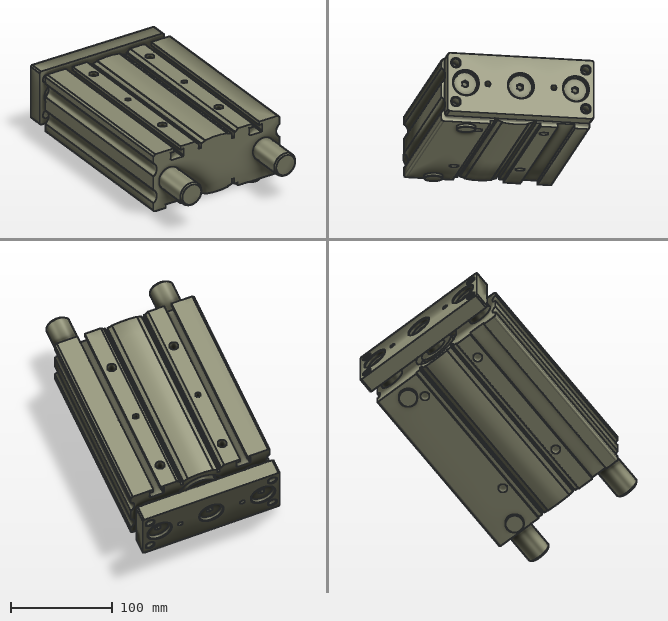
import cadquery as cq
import math

overall_length = 262.0

housing_start = 28.0
housing_end = 222.2
housing_length = housing_end - housing_start
housing_width = 148.0
housing_height = 64.0
half_width = housing_width / 2
half_height = housing_height / 2
top_edge_chamfer = 2.0
bottom_edge_fillet = 2.0

flute_z = 15.0
flute_width = 14.7
flute_depth = 4.0
flute_radius = ((flute_width / 2) ** 2 + flute_depth**2) / (2 * flute_depth)

t_slot_y = 46.0
t_slot_opening = 7.9
t_slot_lip = 4.0
t_slot_inner_width = 15.2
t_slot_depth = 12.3
t_slot_corner = 1.0
relief_inner_y = 42.2
relief_outer_y = 59.5
relief_depth = 4.0

arch_half_width = 13.4
arch_radius = 78.5
arch_sagitta = arch_radius - math.sqrt(arch_radius**2 - arch_half_width**2)
arch_drop = 0.8
arch_step = 0.5
shoulder_drop = 1.5
sensor_slot_inner_y = 18.0
sensor_slot_outer_y = 20.7
sensor_slot_depth = 9.2
channel_half_width = 25.2
channel_chamfer = 3.1

mount_hole_y = 33.0
mount_hole_diameter = 9.0
mount_hole_first_x = 52.0
mount_hole_spacing = 123.7
dowel_hole_x = mount_hole_first_x + mount_hole_spacing / 2
dowel_hole_diameter = 5.2
dowel_hole_depth = 7.9
dowel_slot_length = 6.3

bore_diameter = 49.8
cover_nose_diameter = 36.2
ring_inner_diameter = 38.3
ring_depth = 6.5
ring_thickness = 2.0
cover_flange_thickness = 7.9
cover_flange_start = housing_start + ring_depth + ring_thickness
bore_end = cover_flange_start + cover_flange_thickness

plate_thickness = 16.2
plate_width = 146.0
plate_height = 59.7
plate_edge_chamfer = 1.5
corner_hole_y = 65.0
corner_hole_z = 20.0
corner_hole_diameter = 8.5
plate_hole_chamfer = 0.8
guide_rod_diameter = 25.0
guide_rod_y = 55.0
guide_rod_chamfer = 1.5
piston_rod_diameter = 20.2

counterbore_diameter = 25.0
counterbore_depth = 10.5
screw_head_diameter = 23.5
screw_head_recess = 4.2
socket_across_flats = 6.0
socket_depth = 4.0

plug_diameter = 18.5
plug_height = 3.1
plug_chamfer = 0.5
plug_y = 46.6
plug_x_positions = [42.5, 211.5]


def rod_shape(diameter, start, end, y=0, z=0):
    """Cylinder along X."""
    return cq.Workplane("YZ", origin=(start, y, z)).circle(diameter / 2).extrude(end - start)


def housing_prism(points):
    """Outline in the YZ plane, extruded over the length of the housing."""
    return cq.Workplane("YZ", origin=(housing_start, 0, 0)).polyline(points).close().extrude(housing_length)


def side_flute(side, z):
    center_y = side * (half_width + flute_radius - flute_depth)
    return rod_shape(2 * flute_radius, housing_start, housing_end, center_y, z)


def t_slot(y):
    half_opening = t_slot_opening / 2
    half_inner = t_slot_inner_width / 2
    lip_z = half_height - t_slot_lip
    floor_z = half_height - t_slot_depth
    half_outline = [
        (half_opening, half_height),
        (half_opening, lip_z),
        (half_inner, lip_z),
        (half_inner, floor_z + t_slot_corner),
        (half_inner - t_slot_corner, floor_z),
    ]
    outline = [(y + dy, z) for dy, z in half_outline] + [(y - dy, z) for dy, z in reversed(half_outline)]
    return housing_prism(outline)


def bottom_relief():
    top_z = relief_depth - half_height
    return housing_prism([
        (-relief_inner_y, -half_height),
        (-relief_inner_y, top_z),
        (-relief_outer_y, top_z),
        (-relief_outer_y, -half_height),
    ])


def middle_channel(ledge_outer_y):
    """Channel in the top face; the arch in its middle stays standing."""
    arch_top = half_height - arch_drop
    arch_edge = arch_top - arch_sagitta
    step_z = arch_edge - arch_step
    shoulder_z = step_z - shoulder_drop
    ledge_z = half_height - channel_chamfer
    slot_floor = half_height - sensor_slot_depth
    side_points = [
        (arch_half_width, step_z),
        (sensor_slot_inner_y, shoulder_z),
        (sensor_slot_inner_y, slot_floor),
        (sensor_slot_outer_y, slot_floor),
        (sensor_slot_outer_y, ledge_z),
        (ledge_outer_y, ledge_z),
        (channel_half_width, half_height),
        (channel_half_width, half_height + channel_chamfer),
    ]
    outline = cq.Workplane("YZ", origin=(housing_start, 0, 0)).moveTo(-arch_half_width, arch_edge)
    outline = outline.threePointArc((0, arch_top), (arch_half_width, arch_edge))
    for y, z in side_points:
        outline = outline.lineTo(y, z)
    for y, z in reversed(side_points):
        outline = outline.lineTo(-y, z)
    return outline.close().extrude(housing_length)


def mount_hole(x, y):
    return cq.Workplane("XY", origin=(x, y, -half_height)).circle(mount_hole_diameter / 2).extrude(housing_height)


def top_dowel_holes():
    """A round hole at -Y and a slightly elongated one at +Y."""
    face = cq.Workplane("XY", origin=(dowel_hole_x, 0, half_height))
    round_hole = face.center(0, -mount_hole_y).circle(dowel_hole_diameter / 2).extrude(-dowel_hole_depth)
    long_hole = face.center(0, mount_hole_y).slot2D(dowel_slot_length, dowel_hole_diameter, 90)
    return round_hole.union(long_hole.extrude(-dowel_hole_depth))


def make_housing():
    body = cq.Workplane("XY").box(housing_length, housing_width, housing_height)
    body = body.translate((housing_start + housing_length / 2, 0, 0))
    body = body.faces(">Z").edges("|X").chamfer(top_edge_chamfer)
    body = body.faces("<Z").edges("|X").fillet(bottom_edge_fillet)
    body = body.cut(middle_channel(channel_half_width - channel_chamfer))
    body = body.cut(middle_channel(channel_half_width).mirror("XY"))
    for side in (-1, 1):
        body = body.cut(t_slot(side * t_slot_y))
        for z in (-flute_z, flute_z):
            body = body.cut(side_flute(side, z))
        for x in (mount_hole_first_x, mount_hole_first_x + mount_hole_spacing):
            body = body.cut(mount_hole(x, side * mount_hole_y))
        body = body.cut(rod_shape(guide_rod_diameter, housing_start, housing_end, side * guide_rod_y))
    body = body.cut(top_dowel_holes()).cut(bottom_relief())
    return body.cut(rod_shape(bore_diameter, housing_start, bore_end))


def make_rod_cover():
    nose = rod_shape(cover_nose_diameter, housing_start, cover_flange_start)
    flange = rod_shape(bore_diameter, cover_flange_start, bore_end)
    return nose.union(flange).cut(rod_shape(piston_rod_diameter, housing_start, bore_end))


def make_retaining_ring():
    start = housing_start + ring_depth
    ring = rod_shape(bore_diameter, start, cover_flange_start)
    return ring.cut(rod_shape(ring_inner_diameter, start, cover_flange_start))


def plate_hole(diameter, depth, y, z=0):
    """Hole from the front of the plate with a chamfered mouth."""
    hole = rod_shape(diameter, 0, depth, y, z)
    mouth = cq.Workplane("YZ", origin=(0, y, z)).circle(diameter / 2 + plate_hole_chamfer)
    mouth = mouth.workplane(offset=plate_hole_chamfer).circle(diameter / 2).loft()
    return hole.union(mouth)


def screw_head(y):
    head = rod_shape(screw_head_diameter, screw_head_recess, counterbore_depth, y)
    corner_radius = socket_across_flats / math.sqrt(3)
    corners = [
        (corner_radius * math.sin(i * math.pi / 3), corner_radius * math.cos(i * math.pi / 3)) for i in range(6)
    ]
    socket = cq.Workplane("YZ", origin=(screw_head_recess, y, 0)).polyline(corners).close().extrude(socket_depth)
    return head.cut(socket)


def make_plate_with_rods():
    plate = cq.Workplane("XY").box(plate_thickness, plate_width, plate_height)
    plate = plate.translate((plate_thickness / 2, 0, 0)).edges("|X").chamfer(plate_edge_chamfer)
    for side in (-1, 1):
        for z in (-corner_hole_z, corner_hole_z):
            plate = plate.cut(plate_hole(corner_hole_diameter, plate_thickness, side * corner_hole_y, z))
        plate = plate.cut(rod_shape(dowel_hole_diameter, 0, plate_thickness, side * mount_hole_y))
        guide_rod = rod_shape(guide_rod_diameter, plate_thickness, overall_length, side * guide_rod_y)
        plate = plate.union(guide_rod.faces(">X").chamfer(guide_rod_chamfer))
    plate = plate.union(rod_shape(piston_rod_diameter, plate_thickness, bore_end))
    for y in (-guide_rod_y, 0, guide_rod_y):
        plate = plate.cut(plate_hole(counterbore_diameter, counterbore_depth, y)).union(screw_head(y))
    return plate


def make_plug(x):
    plug = cq.Workplane("XY", origin=(x, plug_y, -half_height)).circle(plug_diameter / 2).extrude(-plug_height)
    return plug.faces("<Z").edges().chamfer(plug_chamfer)


housing = make_housing()
rod_cover = make_rod_cover()
retaining_ring = make_retaining_ring()
plate_with_rods = make_plate_with_rods()
plugs = [make_plug(x) for x in plug_x_positions]

result = cq.Compound.makeCompound([
    housing.val(),
    rod_cover.val(),
    retaining_ring.val(),
    plate_with_rods.val(),
    *[plug.val() for plug in plugs],
])